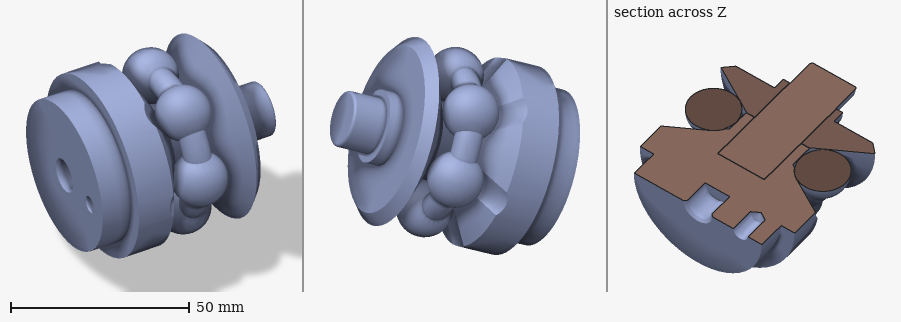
import cadquery as cq
import math

flange_radius = 54.5 / 2
cone_angle = math.radians(60)

ball_count = 6
ball_radius = 8.0
ring_wire_radius = 4.0
chain_y = 32.75
chain_radius = flange_radius - ball_radius
core_radius = chain_radius - ball_radius

spigot_radius = 22.5
spigot_length = 9.0
front_rim_y = 20.2
cone_length = (flange_radius - core_radius) / math.tan(cone_angle)
front_cone_end = front_rim_y + cone_length
groove_length = 25.45

bore_radius = 4.25
bore_mouth_radius = 5.1
bore_depth = 9.0
pin_hole_radius = 2.55
pin_hole_x = 15.0
pin_hole_depth = 8.0
drill_half_angle = math.radians(59)
drill_point_length = pin_hole_radius / math.tan(drill_half_angle)

rear_rim_y = chain_y + (ball_radius + ball_radius * math.cos(cone_angle)) / math.sin(cone_angle)
rear_cone_start = rear_rim_y - cone_length
rear_face_y = 49.6
rear_face_radius = 24.15
boss_radius = 10.55
boss_end = 53.7

shaft_radius = 8.1
shaft_start = front_rim_y
shaft_end = 63.6
shaft_fillet = 0.8


def revolve_profile(points):
    """Revolve a closed outline of (radius, y) points about the Y axis."""
    return cq.Workplane("XY").polyline(points).close().revolve(360, (0, 0), (0, 1))


def rod(radius, start, direction, length):
    return cq.Workplane(cq.Solid.makeCylinder(radius, length, start, direction))


def ball(center):
    return cq.Workplane("XZ").sphere(ball_radius).translate(center)


def ball_center(index):
    angle = 2 * math.pi * index / ball_count
    return cq.Vector(chain_radius * math.cos(angle), chain_y, chain_radius * math.sin(angle))


def make_shaft():
    axis_start = cq.Vector(0, shaft_start, 0)
    shaft = rod(shaft_radius, axis_start, cq.Vector(0, 1, 0), shaft_end - shaft_start)
    return shaft.faces(">Y").edges().fillet(shaft_fillet)


def make_ball_groove(index):
    """Round groove parallel to the front cone, ending in a seat for one ball."""
    center = ball_center(index)
    outward = cq.Vector(center.x, 0, center.z).normalized()
    direction = outward * math.sin(cone_angle) - cq.Vector(0, math.cos(cone_angle), 0)
    return rod(ball_radius, center, direction, groove_length).union(ball(center))


def make_front_flange(shaft):
    flange = revolve_profile([
        (0, 0),
        (spigot_radius, 0),
        (spigot_radius, spigot_length),
        (flange_radius, spigot_length),
        (flange_radius, front_rim_y),
        (core_radius, front_cone_end),
        (core_radius, rear_cone_start),
        (0, rear_cone_start),
    ])
    for index in range(ball_count):
        flange = flange.cut(make_ball_groove(index))

    chamfered_bore = revolve_profile([
        (0, 0),
        (bore_mouth_radius, 0),
        (bore_radius, bore_mouth_radius - bore_radius),
        (bore_radius, bore_depth),
        (0, bore_depth),
    ])
    pin_hole = revolve_profile([
        (0, 0),
        (pin_hole_radius, 0),
        (pin_hole_radius, pin_hole_depth),
        (0, pin_hole_depth + drill_point_length),
    ]).translate((pin_hole_x, 0, 0))
    return flange.cut(chamfered_bore).cut(pin_hole).cut(shaft)


def make_rear_flange(shaft):
    flange = revolve_profile([
        (0, rear_cone_start),
        (core_radius, rear_cone_start),
        (flange_radius, rear_rim_y),
        (rear_face_radius, rear_face_y),
        (boss_radius, rear_face_y),
        (boss_radius, boss_end),
        (0, boss_end),
    ])
    return flange.cut(shaft)


def make_ball_chain():
    """Round ring threaded through the centres of all the balls."""
    chain = cq.Workplane(
        cq.Solid.makeTorus(chain_radius, ring_wire_radius, cq.Vector(0, chain_y, 0), cq.Vector(0, 1, 0))
    )
    for index in range(ball_count):
        chain = chain.union(ball(ball_center(index)))
    return chain


shaft = make_shaft()
front_flange = make_front_flange(shaft)
rear_flange = make_rear_flange(shaft)
ball_chain = make_ball_chain()

result = cq.Compound.makeCompound([
    *front_flange.vals(),
    *rear_flange.vals(),
    *ball_chain.vals(),
    *shaft.vals(),
])